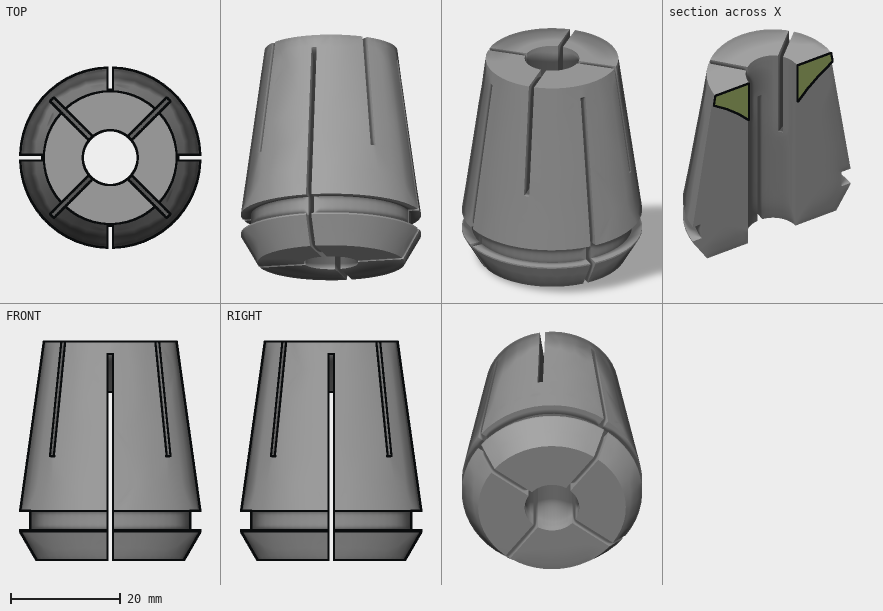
import cadquery as cq
import math

height = 40.0
max_radius = 16.5
bore_radius = 5.0

taper_angle = 8.0
taper_base_z = 9.0

groove_radius = 14.65
flange_top_z = 5.5
rim_height = 0.3
flange_bevel_angle = 30.0

slot_width = 1.0
cuts_per_end = 4
lower_cut_outer_z = 37.65
lower_cut_bore_z = 30.7
lower_saw_radius = 32.8
upper_cut_outer_z = 19.0
upper_cut_bore_z = 21.3
upper_saw_radius = 16.0

clearance = 2.0


def taper_radius(z):
    """Radius of the taper at height z."""
    return max_radius - (z - taper_base_z) * math.tan(math.radians(taper_angle))


def make_body():
    """Revolved body with taper, groove, bevelled flange and bore."""
    rim_base_z = flange_top_z - rim_height
    foot_radius = max_radius - rim_base_z * math.tan(math.radians(flange_bevel_angle))
    return (
        cq.Workplane("XZ")
        .moveTo(bore_radius, 0)
        .lineTo(foot_radius, 0)
        .lineTo(max_radius, rim_base_z)
        .lineTo(max_radius, flange_top_z)
        .lineTo(groove_radius, flange_top_z)
        .lineTo(groove_radius, taper_base_z)
        .lineTo(max_radius, taper_base_z)
        .lineTo(taper_radius(height), height)
        .lineTo(bore_radius, height)
        .close()
        .revolve(360, (0, 0, 0), (0, 1, 0))
    )


def make_cut(outer_z, bore_z, saw_radius, open_z, angle):
    """Radial slot from open_z to an arc running from the taper surface to the bore."""
    inner = (bore_radius, bore_z)
    outer = (taper_radius(outer_z), outer_z)
    run = outer[0] - inner[0]
    rise = outer[1] - inner[1]
    chord = math.hypot(run, rise)
    bulge = saw_radius - math.sqrt(saw_radius**2 - (chord / 2) ** 2)
    side = math.copysign(bulge / chord, outer_z - open_z)
    middle = (
        (inner[0] + outer[0]) / 2 - side * rise,
        (inner[1] + outer[1]) / 2 + side * run,
    )
    far_radius = max_radius + clearance
    return (
        cq.Workplane("XZ")
        .moveTo(0, open_z)
        .lineTo(far_radius, open_z)
        .lineTo(far_radius, outer_z)
        .lineTo(*outer)
        .threePointArc(middle, inner)
        .lineTo(0, bore_z)
        .close()
        .extrude(slot_width / 2, both=True)
        .rotate((0, 0, 0), (0, 0, 1), angle)
    )


result = make_body()
cut_pitch = 360 / cuts_per_end
for index in range(cuts_per_end):
    lower_angle = index * cut_pitch
    upper_angle = lower_angle + cut_pitch / 2
    result = result.cut(
        make_cut(lower_cut_outer_z, lower_cut_bore_z, lower_saw_radius, -clearance, lower_angle)
    )
    result = result.cut(
        make_cut(upper_cut_outer_z, upper_cut_bore_z, upper_saw_radius, height + clearance, upper_angle)
    )